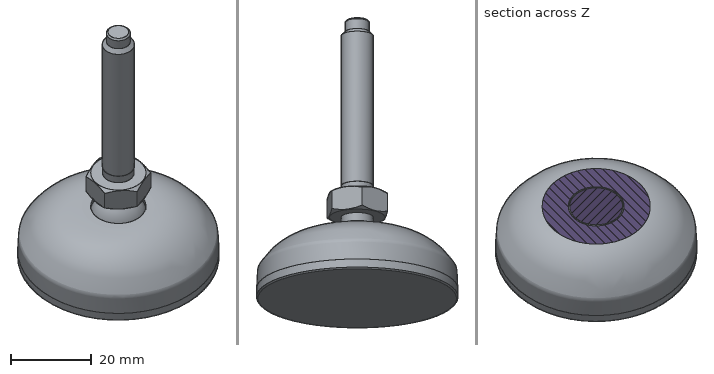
import cadquery as cq
import math

foot_diameter = 50.0
foot_radius = foot_diameter / 2
pad_height = 2.45
pad_chamfer = 0.35
dome_top_z = 16.45
dome_flat_radius = 9.0
dome_arc_radius = 18.3
wall_top_radius = 24.8
rim_fillet = 1.95

ball_radius = 14.5 / 2
ball_center_z = 13.0
opening_diameter = 13.7

stud_radius = 8.0 / 2
relief_radius = 7.9 / 2
relief_top_z = 29.25
tip_radius = 6.0 / 2
tip_chamfer = 0.4
tip_length = 2.95
stud_top_z = 72.2
hex_bottom_z = 21.1
hex_height = 6.1
hex_across_flats = 14.0
hex_face_radius = 13.7 / 2
hex_chamfer_angle = 30.0


def make_ball():
    return cq.Workplane("XY", origin=(0, 0, ball_center_z)).sphere(ball_radius)


def make_pad():
    pad = cq.Workplane("XY").circle(foot_radius).extrude(pad_height)
    return pad.faces("<Z").chamfer(pad_chamfer)


def crown_point(radius):
    """Point of the crown arc at a given distance from the axis."""
    arc_center_z = dome_top_z - dome_arc_radius
    rise = math.sqrt(dome_arc_radius**2 - (radius - dome_flat_radius) ** 2)
    return (radius, arc_center_z + rise)


def make_dome():
    middle_radius = (dome_flat_radius + wall_top_radius) / 2
    dome = (
        cq.Workplane("XZ")
        .moveTo(0, pad_height)
        .lineTo(foot_radius, pad_height)
        .lineTo(*crown_point(wall_top_radius))
        .threePointArc(crown_point(middle_radius), (dome_flat_radius, dome_top_z))
        .lineTo(0, dome_top_z)
        .close()
        .revolve(360, (0, 0, 0), (0, 1, 0))
    )
    rim = cq.selectors.RadiusNthSelector(-2)
    dome = dome.edges("%CIRCLE").edges(rim).fillet(rim_fillet)

    opening = (
        cq.Workplane("XY", origin=(0, 0, ball_center_z))
        .circle(opening_diameter / 2)
        .extrude(dome_top_z - ball_center_z)
    )
    return dome.cut(make_ball()).cut(opening)


def make_hexagon():
    corner_radius = hex_across_flats / math.sqrt(3)
    corner_drop = (corner_radius - hex_face_radius) * math.tan(math.radians(hex_chamfer_angle))
    hex_top_z = hex_bottom_z + hex_height
    prism = (
        cq.Workplane("XY", origin=(0, 0, hex_bottom_z))
        .transformed(rotate=(0, 0, 90))
        .polygon(6, 2 * corner_radius)
        .extrude(hex_height)
    )
    envelope = (
        cq.Workplane("XZ")
        .moveTo(0, hex_bottom_z)
        .lineTo(hex_face_radius, hex_bottom_z)
        .lineTo(corner_radius, hex_bottom_z + corner_drop)
        .lineTo(corner_radius, hex_top_z - corner_drop)
        .lineTo(hex_face_radius, hex_top_z)
        .lineTo(0, hex_top_z)
        .close()
        .revolve(360, (0, 0, 0), (0, 1, 0))
    )
    return prism.intersect(envelope)


def make_stud():
    shoulder_z = stud_top_z - tip_length
    shoulder_chamfer = stud_radius - tip_radius
    shank = (
        cq.Workplane("XZ")
        .moveTo(0, ball_center_z)
        .lineTo(stud_radius, ball_center_z)
        .lineTo(stud_radius, hex_bottom_z)
        .lineTo(relief_radius, hex_bottom_z)
        .lineTo(relief_radius, relief_top_z)
        .lineTo(stud_radius, relief_top_z)
        .lineTo(stud_radius, shoulder_z - shoulder_chamfer)
        .lineTo(tip_radius, shoulder_z)
        .lineTo(tip_radius, stud_top_z - tip_chamfer)
        .lineTo(tip_radius - tip_chamfer, stud_top_z)
        .lineTo(0, stud_top_z)
        .close()
        .revolve(360, (0, 0, 0), (0, 1, 0))
    )
    return shank.union(make_hexagon()).union(make_ball())


pad = make_pad().solids()
dome = make_dome().solids()
stud = make_stud().solids()

result = cq.Compound.makeCompound([pad.val(), dome.val(), stud.val()])